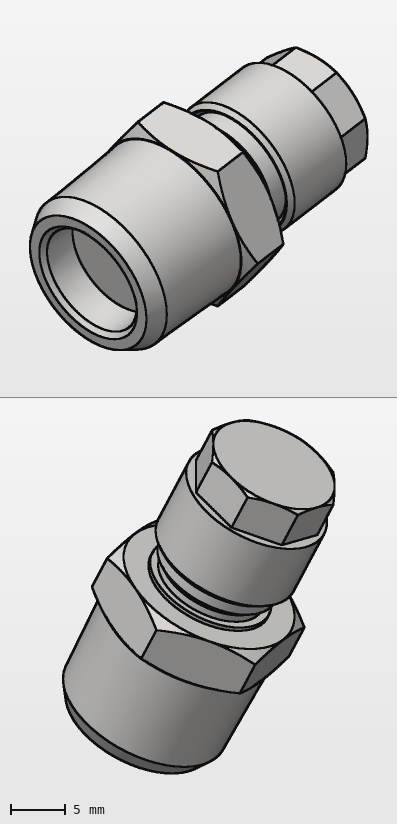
import cadquery as cq
import math

length = 31.4

thread_end_radius = 7.15
thread_small_radius = 8.13
thread_large_radius = 8.4
thread_chamfer_length = 1.7
thread_length = 11.45

body_hex_flats = 17.0
body_hex_width = 5.02
hex_chamfer_angle = 30.0

collar_radius = 6.03
collar_width = 0.4
neck_radius = 5.25
neck_width = 0.8
shoulder_radius = 5.97
shoulder_cone_length = 0.72

nut_radius = 7.0
nut_chamfer = 0.5
nut_mouth_radius = 6.4
nut_end_length = 4.0
nut_barrel_length = 7.55
nut_octagon_flats = 12.05

bore_radius = 5.5
bore_depth = 4.0
bore_mouth_radius = 6.0
bore_chamfer = bore_mouth_radius - bore_radius

body_end = thread_length + body_hex_width
collar_end = body_end + collar_width
neck_end = collar_end + neck_width
shoulder_start = neck_end + shoulder_cone_length
nut_end_start = length - nut_end_length
nut_start = nut_end_start - nut_barrel_length
nut_mouth_depth = nut_mouth_radius - shoulder_radius


def revolve_profile(points):
    """Revolve a closed (radius, Y) outline about the Y axis."""
    return cq.Workplane("XY").polyline(points).close().revolve(360, (0, 0), (0, 1))


def chamfered_prism(sides, flats, start, end, turn, chamfer_start):
    """Polygonal prism along Y with conically chamfered corners."""
    flat_radius = flats / 2
    corner_radius = flat_radius / math.cos(math.pi / sides)
    drop = (corner_radius - flat_radius) * math.tan(math.radians(hex_chamfer_angle))
    prism = (
        cq.Workplane("XZ", origin=(0, start, 0))
        .polygon(sides, 2 * corner_radius)
        .extrude(start - end)
        .rotate((0, 0, 0), (0, 1, 0), turn)
    )
    if chamfer_start:
        start_outline = [(flat_radius, start), (corner_radius, start + drop)]
    else:
        start_outline = [(corner_radius, start)]
    envelope = revolve_profile(
        [(0, start)]
        + start_outline
        + [(corner_radius, end - drop), (flat_radius, end), (0, end)]
    )
    return prism.intersect(envelope)


thread = revolve_profile([
    (0, 0),
    (thread_end_radius, 0),
    (thread_small_radius, thread_chamfer_length),
    (thread_large_radius, thread_length),
    (0, thread_length),
])

body_hex = chamfered_prism(6, body_hex_flats, thread_length, body_end, 0, True)

turned_end = revolve_profile([
    (0, body_end),
    (collar_radius, body_end),
    (collar_radius, collar_end),
    (neck_radius, collar_end),
    (neck_radius, neck_end),
    (shoulder_radius, shoulder_start),
    (shoulder_radius, nut_start + nut_mouth_depth),
    (nut_mouth_radius, nut_start),
    (nut_radius - nut_chamfer, nut_start),
    (nut_radius, nut_start + nut_chamfer),
    (nut_radius, nut_end_start),
    (0, nut_end_start),
])

nut_octagon = chamfered_prism(8, nut_octagon_flats, nut_end_start, length, 180 / 8, False)

bore = revolve_profile([
    (0, 0),
    (bore_mouth_radius, 0),
    (bore_radius, bore_chamfer),
    (bore_radius, bore_depth),
    (0, bore_depth),
])

result = thread.union(body_hex).union(turned_end).union(nut_octagon).cut(bore)